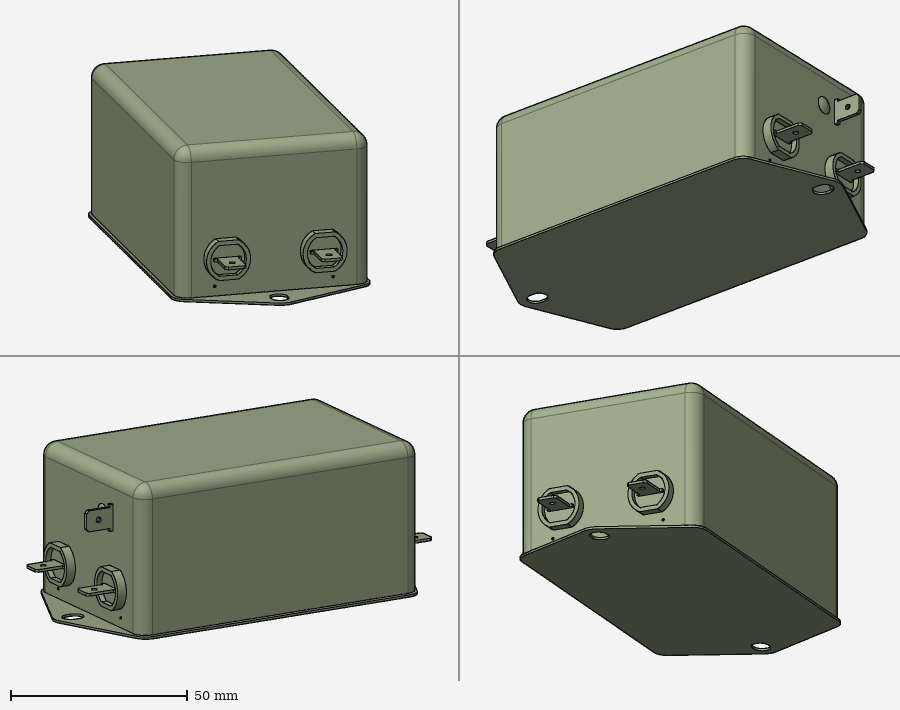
import cadquery as cq
import math

PLATE_LENGTH = 114.9
PLATE_WIDTH = 58.5
PLATE_THICKNESS = 0.7
PLATE_SIDE_HALF_LENGTH = 45.0
PLATE_CORNER_RADIUS = 4.4
EAR_TIP_RADIUS = 5.0
SLOT_LENGTH = 6.4
SLOT_WIDTH = 5.0
SLOT_X = 51.5
PAD_HEIGHT = 0.2

COVER_LENGTH = 92.1
COVER_WIDTH = 56.9
TOTAL_HEIGHT = 45.0
COVER_EDGE_RADIUS = 4.0
COVER_BOTTOM_Z = PLATE_THICKNESS + PAD_HEIGHT
COVER_HEIGHT = TOTAL_HEIGHT - COVER_BOTTOM_Z
COVER_END_X = COVER_LENGTH / 2

PAD_INSET = 0.7

DIMPLE_DIAMETER = 0.7
DIMPLE_DEPTH = 0.5
DIMPLE_Y = 17.5
DIMPLE_Z = 3.8

TERMINAL_Y = 14.2
TERMINAL_Z = 12.1
COLLAR_DIAMETER = 13.0
COLLAR_FLAT_HEIGHT = 11.6
COLLAR_WALL = 1.3
COLLAR_DEPTH = 2.9
COLLAR_RECESS_DEPTH = 1.7

BLADE_WIDTH = 6.2
SHOULDER_WIDTH = 7.9
SHOULDER_LENGTH = 1.0
BLADE_CORNER = 0.8
BLADE_HOLE_DIAMETER = 1.6
BLADE_HOLE_FROM_TIP = 4.0

TERMINAL_THICKNESS = 0.8
TERMINAL_TIP_X = 56.9

GROUND_TAB_THICKNESS = 1.0
GROUND_TAB_TIP_X = 54.8
GROUND_TAB_Y = -12.8
GROUND_Z = 32.4

RIVET_DIAMETER = 5.3
RIVET_HEIGHT = 0.7
RIVET_Y = -7.4


def ear_tip_x():
    """X of the sharp ear corner whose rounded tip lies at the end of the plate."""
    center_x = PLATE_LENGTH / 2 - EAR_TIP_RADIUS
    dx = center_x - PLATE_SIDE_HALF_LENGTH
    dy = PLATE_WIDTH / 2
    distance = math.hypot(dx, dy)
    edge_angle = math.atan2(dy, dx) - math.asin(EAR_TIP_RADIUS / distance)
    return PLATE_SIDE_HALF_LENGTH + dy / math.tan(edge_angle)


def make_base_plate():
    """Sheet with rounded ears and corners, two mounting slots and the pad under the cover."""
    tip_x = ear_tip_x()
    side_x = PLATE_SIDE_HALF_LENGTH
    side_y = PLATE_WIDTH / 2
    outline = [
        (-tip_x, 0),
        (-side_x, -side_y),
        (side_x, -side_y),
        (tip_x, 0),
        (side_x, side_y),
        (-side_x, side_y),
    ]
    plate = cq.Workplane("XY").polyline(outline).close().extrude(PLATE_THICKNESS)
    plate = plate.edges("|Z").edges("<X or >X").fillet(EAR_TIP_RADIUS)
    plate = plate.edges("|Z").edges("<Y or >Y").fillet(PLATE_CORNER_RADIUS)
    slots = (
        cq.Workplane("XY")
        .pushPoints([(-SLOT_X, 0), (SLOT_X, 0)])
        .slot2D(SLOT_LENGTH, SLOT_WIDTH)
        .extrude(PLATE_THICKNESS)
    )
    pad = (
        cq.Workplane("XY")
        .rect(COVER_LENGTH - 2 * PAD_INSET, COVER_WIDTH - 2 * PAD_INSET)
        .extrude(COVER_BOTTOM_Z)
        .edges("|Z")
        .fillet(COVER_EDGE_RADIUS - PAD_INSET)
    )
    return plate.cut(slots).union(pad)


def make_blade(root_x, tip_x, thickness):
    """Flat blade in the XY plane pointing to +X, with a wider shoulder at its root."""
    length = tip_x - root_x
    shoulder = cq.Workplane("XY").box(
        SHOULDER_LENGTH, SHOULDER_WIDTH, thickness, centered=(False, True, True)
    )
    blade = (
        cq.Workplane("XY")
        .box(length, BLADE_WIDTH, thickness, centered=(False, True, True))
        .edges(">X and |Z")
        .chamfer(BLADE_CORNER)
    )
    hole = (
        cq.Workplane("XY")
        .center(length - BLADE_HOLE_FROM_TIP, 0)
        .circle(BLADE_HOLE_DIAMETER / 2)
        .extrude(thickness, both=True)
    )
    return blade.union(shoulder).cut(hole).translate((root_x, 0, 0))


def make_flatted_disc(diameter, flat_height, thickness):
    """Disc ending at the collar's outer face, cut flat above and below."""
    disc = cq.Workplane("YZ").circle(diameter / 2).extrude(-thickness)
    band = cq.Workplane("YZ").rect(diameter, flat_height).extrude(-thickness)
    return disc.intersect(band).translate((COVER_END_X + COLLAR_DEPTH, 0, 0))


def make_terminal():
    """Collar with its blade on the +X end face, centred on the X axis."""
    recess_diameter = COLLAR_DIAMETER - 2 * COLLAR_WALL
    recess_height = COLLAR_FLAT_HEIGHT - 2 * COLLAR_WALL
    recess_floor_x = COVER_END_X + COLLAR_DEPTH - COLLAR_RECESS_DEPTH
    collar = make_flatted_disc(COLLAR_DIAMETER, COLLAR_FLAT_HEIGHT, COLLAR_DEPTH)
    recess = make_flatted_disc(recess_diameter, recess_height, COLLAR_RECESS_DEPTH)
    blade = make_blade(recess_floor_x, TERMINAL_TIP_X, TERMINAL_THICKNESS)
    return collar.cut(recess).union(blade)


def make_cover():
    """Rounded box with two terminals and two dimples on each end face."""
    cover = (
        cq.Workplane("XY", origin=(0, 0, COVER_BOTTOM_Z))
        .box(COVER_LENGTH, COVER_WIDTH, COVER_HEIGHT, centered=(True, True, False))
        .edges("|Z or >Z")
        .fillet(COVER_EDGE_RADIUS)
    )
    dimple = cq.Workplane("YZ").circle(DIMPLE_DIAMETER / 2).extrude(DIMPLE_DEPTH)
    for turn in (0, 180):
        for side in (-1, 1):
            terminal = make_terminal().translate((0, side * TERMINAL_Y, TERMINAL_Z))
            cover = cover.union(terminal.rotate((0, 0, 0), (0, 0, 1), turn))
            placed_dimple = dimple.translate((COVER_END_X - DIMPLE_DEPTH, side * DIMPLE_Y, DIMPLE_Z))
            cover = cover.cut(placed_dimple.rotate((0, 0, 0), (0, 0, 1), turn))
    return cover


def make_ground_tab():
    """Upright blade pointing to -X from the cover's -X face."""
    blade = make_blade(COVER_END_X, GROUND_TAB_TIP_X, GROUND_TAB_THICKNESS)
    upright = blade.rotate((0, 0, 0), (1, 0, 0), 90)
    return upright.mirror("YZ").translate((0, GROUND_TAB_Y, GROUND_Z))


def make_rivet():
    """Shallow spherical cap on the cover's -X face."""
    rim = RIVET_DIAMETER / 2
    sphere_radius = (rim**2 + RIVET_HEIGHT**2) / (2 * RIVET_HEIGHT)
    mid_angle = math.asin(rim / sphere_radius) / 2
    mid_height = RIVET_HEIGHT - sphere_radius * (1 - math.cos(mid_angle))
    cap = (
        cq.Workplane("XY")
        .lineTo(0, rim)
        .threePointArc((-mid_height, sphere_radius * math.sin(mid_angle)), (-RIVET_HEIGHT, 0))
        .close()
        .revolve(360, (0, 0, 0), (1, 0, 0))
    )
    return cap.translate((-COVER_END_X, RIVET_Y, GROUND_Z))


base_plate = make_base_plate()
cover = make_cover()
ground_tab = make_ground_tab()
rivet = make_rivet()

result = cq.Compound.makeCompound(
    [base_plate.val(), cover.val(), ground_tab.val(), rivet.val()]
)